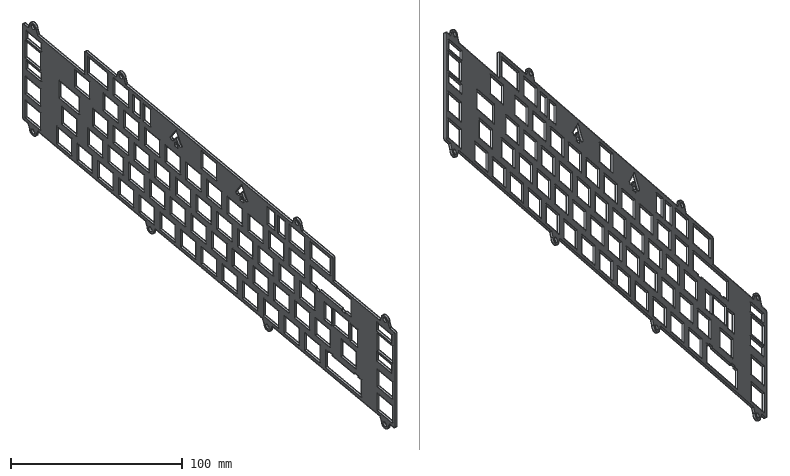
import cadquery as cq


length = 343.0
thickness = 1.5
columns = 18
rows = 5
pitch = length / columns
plate_height = rows * pitch
top_row = rows - 0.5
step_column = 3
corner_radius = 1.5

web = 5.0
switch = pitch - web
stab_width = 7.0
stab_height = 14.0
stab_offset = 0.75
enter_column = 15.375
tall_key_row = 3
stab_reach = 0.625
notch_width = 3.5
notch_depth = 1.0

lug_reach = 6.5
lug_radius = 3.0
lug_hole_diameter = 3.0
lug_base_width = 9.0
outer_lug_x = 162.0
upper_lug_x = 81.0
lower_lug_x = 54.0

arrow_x = 30.2
arrow_top = 7.0
arrow_half_span = 5.5
arrow_wing_drop = 9.5
arrow_foot_drop = 10.5
arrow_notch_drop = 6.2
arrow_notch_half_width = 2.7
tail_half_width = 1.55
tail_top_drop = 9.5
tail_shoulder_drop = 11.0
tail_bottom_drop = 13.5


def column_x(column):
    """X of a place counted in pitches from the left edge."""
    return column * pitch - length / 2


def row_z(row):
    """Z of a place counted in pitches from the bottom edge."""
    return row * pitch - plate_height / 2


def sheet(outline):
    """Extrude a closed XZ outline through the plate thickness, centred on Y."""
    return outline.extrude(thickness / 2, both=True)


def box(x, z, width, height):
    return cq.Workplane("XY").box(width, thickness, height).translate((x, 0, z))


def polygon(points):
    return sheet(cq.Workplane("XZ").polyline(points).close())


def key(column, row, extra_width=0.0):
    """Switch opening, widened by a number of pitches where a key has two places."""
    return box(column_x(column), row_z(row), switch + extra_width * pitch, switch)


def upright_stab(column, row):
    return box(column_x(column), row_z(row) - stab_offset, stab_width, stab_height)


def base_plate():
    step_x = column_x(step_column)
    step_z = row_z(rows - 1)
    bottom_z = row_z(0)
    top_z = row_z(rows)
    half_length = length / 2
    body = polygon([
        (-half_length, bottom_z),
        (half_length, bottom_z),
        (half_length, step_z),
        (-step_x, step_z),
        (-step_x, top_z),
        (step_x, top_z),
        (step_x, step_z),
        (-half_length, step_z),
    ])
    convex_corners = body.edges("|Y").edges("<X or >X or >Z")
    return convex_corners.fillet(corner_radius)


def lug(x, edge_z, direction):
    """Rounded, drilled ear on an edge; direction is +1 upwards or -1 downwards."""
    centre_z = edge_z + direction * (lug_reach - lug_radius)
    root_z = edge_z - direction * corner_radius
    ear = polygon([
        (x - lug_base_width / 2, root_z),
        (x - lug_base_width / 2, edge_z),
        (x - lug_radius, centre_z),
        (x + lug_radius, centre_z),
        (x + lug_base_width / 2, edge_z),
        (x + lug_base_width / 2, root_z),
    ])
    ear = ear.union(sheet(cq.Workplane("XZ").center(x, centre_z).circle(lug_radius)))
    return ear.cut(sheet(cq.Workplane("XZ").center(x, centre_z).circle(lug_hole_diameter / 2)))


def side_column(side):
    """Openings of one end column: two keys and a key with stabilisers above and below."""
    x = side * (length - pitch) / 2
    stab_x = x - side * stab_offset
    openings = [box(x, row_z(row), switch, switch) for row in (0.5, 1.5, tall_key_row)]
    for row in (tall_key_row - stab_reach, tall_key_row + stab_reach):
        openings.append(box(stab_x, row_z(row), stab_height, stab_width))
    return openings


def notched_key(column, row, extra_width, direction):
    """Long opening with two stabiliser notches on its upper (+1) or lower (-1) edge."""
    notch_z = row_z(row) + direction * notch_depth
    openings = [key(column, row, extra_width)]
    for notch_column in (column - stab_reach, column + stab_reach):
        openings.append(box(column_x(notch_column), notch_z, notch_width, switch))
    return openings


def arrow(x):
    """Swept arrowhead with a separate pointed tail slot below its notch."""
    half_foot = arrow_half_span - (arrow_foot_drop - arrow_wing_drop)
    apex_z = row_z(top_row) + arrow_top
    head = polygon([
        (x, apex_z),
        (x + arrow_half_span, apex_z - arrow_wing_drop),
        (x + half_foot, apex_z - arrow_foot_drop),
        (x + arrow_notch_half_width, apex_z - arrow_foot_drop),
        (x, apex_z - arrow_notch_drop),
        (x - arrow_notch_half_width, apex_z - arrow_foot_drop),
        (x - half_foot, apex_z - arrow_foot_drop),
        (x - arrow_half_span, apex_z - arrow_wing_drop),
    ])
    tail = polygon([
        (x, apex_z - tail_top_drop),
        (x + tail_half_width, apex_z - tail_shoulder_drop),
        (x + tail_half_width, apex_z - tail_bottom_drop),
        (x - tail_half_width, apex_z - tail_bottom_drop),
        (x - tail_half_width, apex_z - tail_shoulder_drop),
    ])
    return [head, tail]


key_runs = [
    (2, 0.5, 13),
    (2.25, 1.5, 1),
    (3.5, 1.5, 12),
    (15.75, 1.5, 1),
    (3.75, 2.5, 11),
    (enter_column, 2.5, 1),
    (2.875, 3.5, 1),
    (4.25, 3.5, 10),
    (4.75, top_row, 1),
    (9, top_row, 1),
    (13.25, top_row, 1),
]

openings = []
for first_column, row, count in key_runs:
    openings += [key(first_column + i, row) for i in range(count)]

for column in (3.625, columns - 3.625):
    openings.append(key(column, top_row, 0.25))
openings.append(key(2.25, 2.5, 0.25))
openings += notched_key(14.875, 3.5, 1.25, -1)
openings += notched_key(15.5, 0.5, 1.0, 1)

for column in (enter_column - stab_reach, enter_column + stab_reach):
    openings.append(upright_stab(column, 2.5))
for column in (5.5, 6, 12, 12.5):
    openings.append(upright_stab(column, top_row))

for side in (-1, 1):
    openings += side_column(side)
    openings += arrow(side * arrow_x)

lugs = []
for side in (-1, 1):
    lugs.append(lug(side * outer_lug_x, row_z(rows - 1), 1))
    lugs.append(lug(side * upper_lug_x, row_z(rows), 1))
    lugs.append(lug(side * outer_lug_x, row_z(0), -1))
    lugs.append(lug(side * lower_lug_x, row_z(0), -1))

plate = base_plate().val().cut(*[opening.val() for opening in openings])
plate = plate.fuse(*[ear.val() for ear in lugs])
result = cq.Workplane("XY").newObject(plate.Solids()).clean()